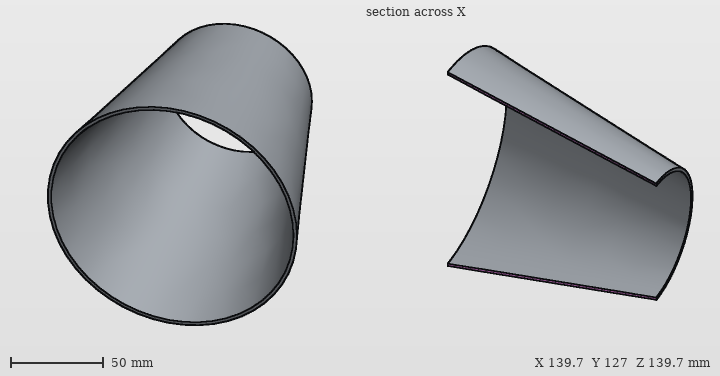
import cadquery as cq
import math

large_diameter = 139.7
small_diameter = 84.0
length = 127.0
wall_thickness = 2.0

large_radius = large_diameter / 2
small_radius = small_diameter / 2

half_cone_angle = math.atan2(large_radius - small_radius, length)
rim_width = wall_thickness / math.cos(half_cone_angle)

wall_section = (
    cq.Workplane("XY")
    .moveTo(large_radius - rim_width, 0)
    .lineTo(large_radius, 0)
    .lineTo(small_radius, length)
    .lineTo(small_radius - rim_width, length)
    .close()
)

result = wall_section.revolve(360, (0, 0, 0), (0, 1, 0))